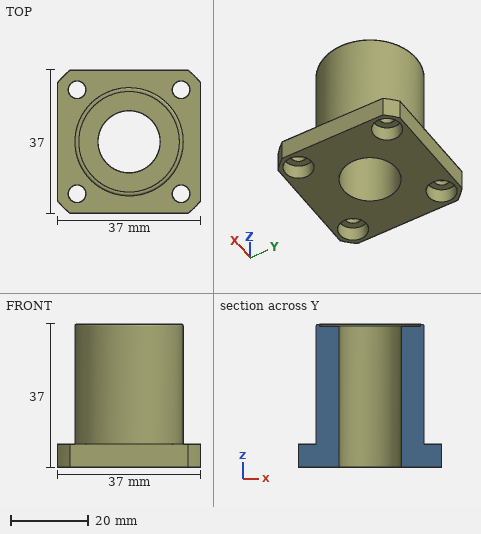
import cadquery as cq
import math

total_height = 37.0
body_diameter = 28.0
bore_diameter = 16.0

flange_width = 37.0
flange_corner_diameter = 48.0
flange_thickness = 6.0

hole_count = 4
bolt_circle_diameter = 38.0
first_hole_angle = 45.0
hole_diameter = 4.5
counterbore_diameter = 8.0
counterbore_depth = 4.4

rim_fillet = 0.5
rim_flat_width = 0.5
recess_depth = 0.5
recess_diameter = body_diameter - 2 * (rim_fillet + rim_flat_width)


def make_flange():
    """Square plate at the base, with its corners rounded by a circle about the axis."""
    square = cq.Workplane("XY").rect(flange_width, flange_width).extrude(flange_thickness)
    corner_limit = cq.Workplane("XY").circle(flange_corner_diameter / 2).extrude(flange_thickness)
    return square.intersect(corner_limit)


def make_body():
    """Cylinder with a rounded rim and a shallow recess in its free end."""
    cylinder = cq.Workplane("XY").circle(body_diameter / 2).extrude(total_height)
    rounded = cylinder.faces(">Z").edges().fillet(rim_fillet)
    recess = (
        cq.Workplane("XY")
        .workplane(offset=total_height - recess_depth)
        .circle(recess_diameter / 2)
        .extrude(recess_depth)
    )
    return rounded.cut(recess)


def make_bore():
    """Through bore on the axis."""
    return cq.Workplane("XY").circle(bore_diameter / 2).extrude(total_height)


def make_mounting_hole(x, y):
    """Through hole in the flange, counterbored from the underside."""
    hole = cq.Workplane("XY").center(x, y).circle(hole_diameter / 2).extrude(flange_thickness)
    counterbore = (
        cq.Workplane("XY").center(x, y).circle(counterbore_diameter / 2).extrude(counterbore_depth)
    )
    return hole.union(counterbore)


result = make_flange().union(make_body()).cut(make_bore())

for index in range(hole_count):
    angle = math.radians(first_hole_angle + index * 360 / hole_count)
    hole_x = bolt_circle_diameter / 2 * math.cos(angle)
    hole_y = bolt_circle_diameter / 2 * math.sin(angle)
    result = result.cut(make_mounting_hole(hole_x, hole_y))